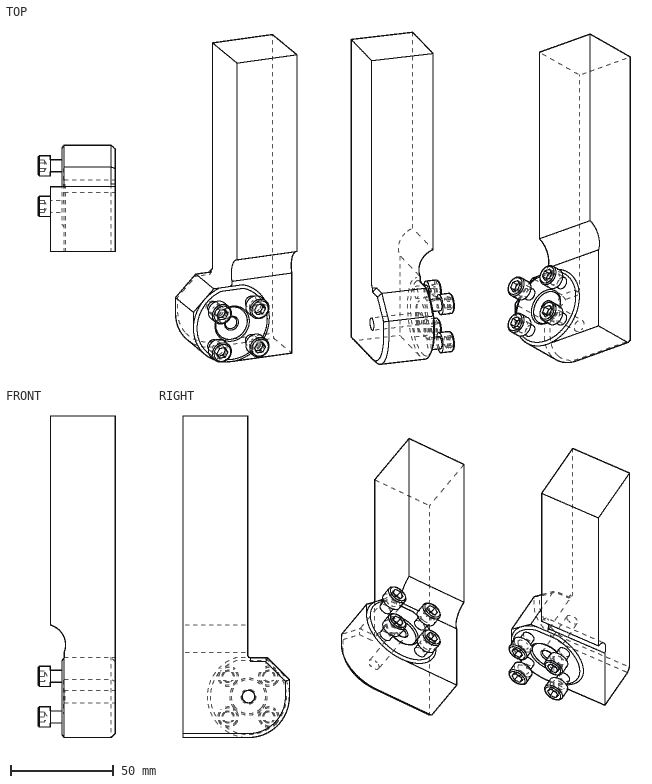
import cadquery as cq
import math

SHANK_SIZE = 31.6
SHANK_Y_MAX = -0.3
OVERALL_HEIGHT = 156.7

HEAD_RADIUS = 20.0
HEAD_TOP = 19.0
HEAD_FACE_X = 6.6
HEAD_BACK_CHAMFER = 2.0
NECK_RADIUS = 1.35

RUNOUT_RADIUS = 10.0
RUNOUT_X = -2.7
RUNOUT_Z = 25.2

PAD_HEIGHT = 1.0
PAD_BEVEL = 1.5

RECESS_DIAMETER = 16.6
RECESS_DEPTH = 0.8
RECESS_CHAMFER = 0.75
BORE_DIAMETER = 6.01
BORE_CHAMFER = 0.6

SCREW_DIAMETER = 6.0
SCREW_HEAD_DIAMETER = 10.0
SCREW_TIP_DIAMETER = 8.7
SCREW_HEAD_HEIGHT = 6.0
SCREW_FRONT_X = -SCREW_HEAD_HEIGHT
SCREW_CIRCLE_DIAMETER = 28.0
STEM_EMBED = 1.0
SOCKET_ACROSS_FLATS = 5.0
SOCKET_DEPTH = 3.0
SOCKET_TIP_DEPTH = 1.5

COS_45 = math.sqrt(0.5)
SHANK_Y_MIN = SHANK_Y_MAX - SHANK_SIZE
BODY_BOTTOM = -HEAD_RADIUS
BODY_TOP = BODY_BOTTOM + OVERALL_HEIGHT
PAD_FACE_X = HEAD_FACE_X - PAD_HEIGHT
RECESS_FLOOR_X = PAD_FACE_X + RECESS_DEPTH
SCREW_OFFSET = SCREW_CIRCLE_DIAMETER / 2 * COS_45
SCREW_HEAD_CHAMFER = (SCREW_HEAD_DIAMETER - SCREW_TIP_DIAMETER) / 2

X_AXIS = cq.Vector(1, 0, 0)


def cylinder_x(x_start, x_end, diameter, y=0.0, z=0.0):
    """Cylinder along X between two X positions."""
    start = cq.Vector(x_start, y, z)
    return cq.Workplane(cq.Solid.makeCylinder(diameter / 2, x_end - x_start, start, X_AXIS))


def cone_x(x_start, x_end, start_diameter, end_diameter, y=0.0, z=0.0):
    """Cone along X between two X positions."""
    start = cq.Vector(x_start, y, z)
    return cq.Workplane(
        cq.Solid.makeCone(start_diameter / 2, end_diameter / 2, x_end - x_start, start, X_AXIS)
    )


def head_block(x_start, x_end):
    """Head outline, with its round lower corner and 45-degree upper corner, extruded along X."""
    corner_sum = HEAD_RADIUS / COS_45
    arc_mid = HEAD_RADIUS * COS_45
    return (
        cq.Workplane("YZ", origin=(x_start, 0, 0))
        .moveTo(SHANK_Y_MIN, BODY_BOTTOM)
        .lineTo(0, BODY_BOTTOM)
        .threePointArc((arc_mid, -arc_mid), (HEAD_RADIUS, 0))
        .lineTo(HEAD_RADIUS, corner_sum - HEAD_RADIUS)
        .lineTo(corner_sum - HEAD_TOP, HEAD_TOP)
        .lineTo(SHANK_Y_MIN, HEAD_TOP)
        .close()
        .extrude(x_end - x_start)
    )


def head():
    """Head block with its back outline chamfered everywhere but on the -Y side."""
    block = head_block(HEAD_FACE_X, SHANK_SIZE)
    return block.faces(">X").edges("not <Y").chamfer(HEAD_BACK_CHAMFER)


def shank():
    """Square bar, rooted in the head, with the concave run-out at its lower end."""
    runout_end_z = RUNOUT_Z - math.sqrt(RUNOUT_RADIUS**2 - (HEAD_FACE_X - RUNOUT_X) ** 2)
    runout_top_z = RUNOUT_Z + math.sqrt(RUNOUT_RADIUS**2 - RUNOUT_X**2)
    return (
        cq.Workplane("XZ", origin=(0, SHANK_Y_MAX, 0))
        .moveTo(0, BODY_TOP)
        .lineTo(SHANK_SIZE, BODY_TOP)
        .lineTo(SHANK_SIZE, 0)
        .lineTo(HEAD_FACE_X, 0)
        .lineTo(HEAD_FACE_X, runout_end_z)
        .threePointArc((RUNOUT_X + RUNOUT_RADIUS, RUNOUT_Z), (0, runout_top_z))
        .close()
        .extrude(SHANK_SIZE)
    )


def neck_fillet():
    """Concave fillet between the +Y side of the shank and the top of the head."""
    center_y = SHANK_Y_MAX + NECK_RADIUS
    center_z = HEAD_TOP + NECK_RADIUS
    arc_mid = NECK_RADIUS * COS_45
    root_z = HEAD_TOP - HEAD_BACK_CHAMFER
    return (
        cq.Workplane("YZ", origin=(HEAD_FACE_X, 0, 0))
        .moveTo(SHANK_Y_MAX, center_z)
        .threePointArc((center_y - arc_mid, center_z - arc_mid), (center_y, HEAD_TOP))
        .lineTo(center_y, root_z)
        .lineTo(SHANK_Y_MAX, root_z)
        .close()
        .extrude(SHANK_SIZE - HEAD_FACE_X)
    )


def pad():
    """Raised round pad with a flat top side and a bevelled rim, kept inside the head outline."""
    rim = cone_x(PAD_FACE_X, HEAD_FACE_X, 2 * (HEAD_RADIUS - PAD_BEVEL), 2 * HEAD_RADIUS)
    flat_top = (
        cq.Workplane("XZ")
        .moveTo(PAD_FACE_X, BODY_BOTTOM)
        .lineTo(HEAD_FACE_X, BODY_BOTTOM)
        .lineTo(HEAD_FACE_X, HEAD_TOP)
        .lineTo(PAD_FACE_X, HEAD_TOP - PAD_BEVEL)
        .close()
        .extrude(HEAD_RADIUS, both=True)
    )
    return rim.intersect(flat_top).intersect(head_block(PAD_FACE_X, HEAD_FACE_X))


def chamfered_hole(x_start, x_end, diameter, chamfer):
    """Cutter for a round hole along X with a 45-degree chamfered mouth."""
    mouth = cone_x(x_start, x_start + chamfer, diameter + 2 * chamfer, diameter)
    return cylinder_x(x_start, x_end, diameter).union(mouth)


def screw(y, z):
    """Socket head screw standing proud of the pad, its stem sunk into the head."""
    head_end_x = SCREW_FRONT_X + SCREW_HEAD_HEIGHT
    cap = cylinder_x(SCREW_FRONT_X, head_end_x, SCREW_HEAD_DIAMETER, y, z)
    cap = cap.faces("<X").chamfer(SCREW_HEAD_CHAMFER)
    stem = cylinder_x(head_end_x, HEAD_FACE_X + STEM_EMBED, SCREW_DIAMETER, y, z)
    socket_floor_x = SCREW_FRONT_X + SOCKET_DEPTH
    socket = (
        cq.Workplane("YZ", origin=(SCREW_FRONT_X, y, z))
        .polygon(6, SOCKET_ACROSS_FLATS / math.cos(math.pi / 6))
        .extrude(SOCKET_DEPTH)
    )
    drill_tip = cone_x(socket_floor_x, socket_floor_x + SOCKET_TIP_DEPTH, SOCKET_ACROSS_FLATS, 0, y, z)
    return cap.union(stem).cut(socket).cut(drill_tip)


result = head().union(shank()).union(neck_fillet()).union(pad())
result = result.cut(chamfered_hole(PAD_FACE_X, RECESS_FLOOR_X, RECESS_DIAMETER, RECESS_CHAMFER))
result = result.cut(chamfered_hole(RECESS_FLOOR_X, SHANK_SIZE, BORE_DIAMETER, BORE_CHAMFER))
for y_side in (-1, 1):
    for z_side in (-1, 1):
        result = result.union(screw(y_side * SCREW_OFFSET, z_side * SCREW_OFFSET))